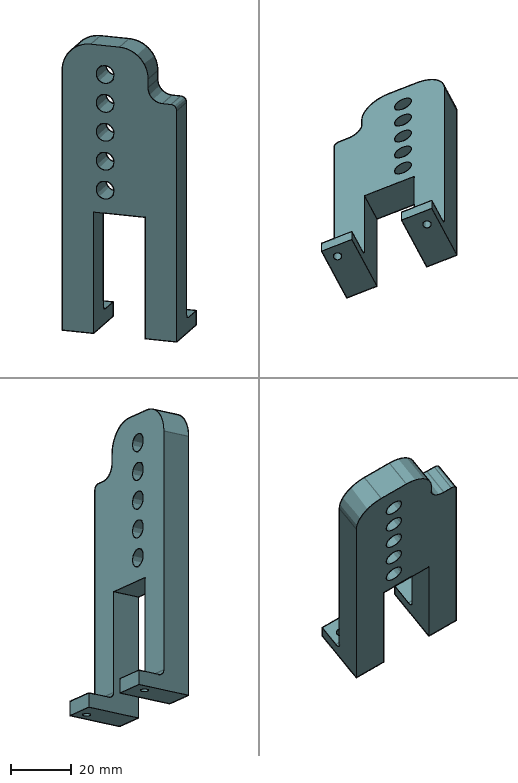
import cadquery as cq

width = 40.0
height = 100.0
plate_thickness = 10.0

head_width = 30.0
head_radius = 10.0
shoulder_height = 82.0
shoulder_inner_radius = 5.0
shoulder_outer_radius = 2.0

leg_width = 11.0
slot_height = 42.0

hole_diameter = 6.1
hole_count = 5
hole_pitch = 10.0
hole_x = head_width / 2
top_hole_z = height - head_radius

foot_depth = 20.0
foot_thickness = 5.0
foot_fillet_radius = 2.0

screw_diameter = 2.7
screw_edge_distance = 4.0
left_screw_y = 15.0
right_screw_y = 16.0


def make_plate():
    """Upright plate with a rounded head and a filleted shoulder, front face at Y = 0."""
    outline = (
        cq.Workplane("XZ")
        .moveTo(0, 0)
        .lineTo(0, height - head_radius)
        .radiusArc((head_radius, height), head_radius)
        .lineTo(head_width - head_radius, height)
        .radiusArc((head_width, height - head_radius), head_radius)
        .lineTo(head_width, shoulder_height + shoulder_inner_radius)
        .radiusArc((head_width + shoulder_inner_radius, shoulder_height), -shoulder_inner_radius)
        .lineTo(width - shoulder_outer_radius, shoulder_height)
        .radiusArc((width, shoulder_height - shoulder_outer_radius), shoulder_outer_radius)
        .lineTo(width, 0)
        .close()
    )
    return outline.extrude(-plate_thickness)


def make_foot(x_start):
    """Foot under one leg, with a concave fillet where it meets the back of the plate."""
    profile = (
        cq.Workplane("YZ", origin=(x_start, 0, 0))
        .moveTo(0, 0)
        .lineTo(foot_depth, 0)
        .lineTo(foot_depth, foot_thickness)
        .lineTo(plate_thickness + foot_fillet_radius, foot_thickness)
        .radiusArc((plate_thickness, foot_thickness + foot_fillet_radius), foot_fillet_radius)
        .lineTo(0, foot_thickness + foot_fillet_radius)
        .close()
    )
    return profile.extrude(leg_width)


def make_slot():
    """Opening between the legs, cut through the plate from the bottom edge."""
    slot_width = width - 2 * leg_width
    slot = cq.Workplane("XY").box(slot_width, plate_thickness, slot_height, centered=False)
    return slot.translate((leg_width, 0, 0))


def make_adjustment_holes():
    """Vertical column of equally spaced through holes."""
    centers = [(hole_x, top_hole_z - i * hole_pitch) for i in range(hole_count)]
    return cq.Workplane("XZ").pushPoints(centers).circle(hole_diameter / 2).extrude(-plate_thickness)


def make_screw_holes():
    """One vertical through hole in each foot."""
    centers = [
        (screw_edge_distance, left_screw_y),
        (width - screw_edge_distance, right_screw_y),
    ]
    return cq.Workplane("XY").pushPoints(centers).circle(screw_diameter / 2).extrude(foot_thickness)


result = make_plate().cut(make_slot())
for foot_x in (0, width - leg_width):
    result = result.union(make_foot(foot_x))
result = result.cut(make_adjustment_holes()).cut(make_screw_holes())